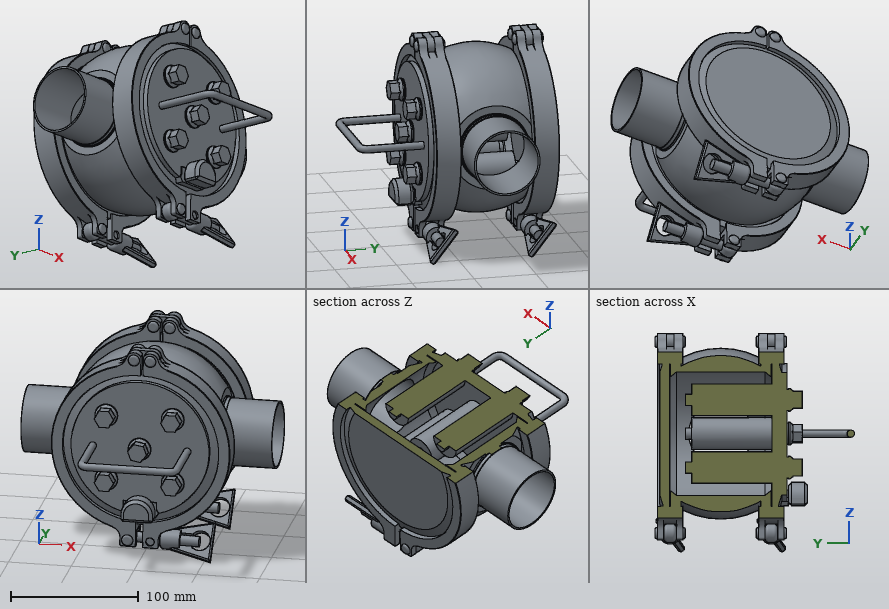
import cadquery as cq
import math

overall_length = 200.0
ball_radius = 66.9
ball_wall = 2.0
ball_flat_x = 57.5
pipe_diameter = 53.0
pipe_bore = 50.0
shoulder_diameter = 56.0
shoulder_end_x = 58.8
collar_diameter = 54.4
collar_end_x = 61.6
flange_radius = 66.0
flange_inner_y = 31.1
opening_radius = 55.0

clamp_center_y = 39.6
clamp_width = 20.0
clamp_radius = 69.75
clamp_bore_radius = 60.8
clamp_half_offset_x = 1.5
clamp_half_offset_z = -1.2
clamp_edge_chamfer = 0.5
ear_overlap = 1.0
clamp_twist = 0.95
clamp_face_y = clamp_center_y + clamp_width / 2

hinge_pin_x = 6.5
hinge_z = 71.95
knuckle_radius = 6.4
knuckle_blend_radius = 10.0
hinge_gap = 2.0
hinge_link_width = 6.0
hinge_link_radius = 6.2
pin_head_diameter = 9.0
pin_head_height = 2.0
pin_head_rounding = 1.8

ear_inner_x = 2.9
ear_outer_x = 15.3
ear_bottom_z = -83.1
ear_blend_radius = 8.0
ear_corner_radius = 1.5
ear_slot_width = 10.2
bolt_axis_z = -78.0
eye_pin_x = -9.3
eye_radius = 7.2
eye_width = 9.6
eye_rounding = 2.6
shank_diameter = 8.4
shank_end_x = 46.3
ear_recess_x = 8.7
ear_recess_diameter = 6.65
ear_recess_depth = 1.5

nut_start_x = 15.6
nut_end_x = 31.5
nut_diameter = 16.0
nut_rounding = 3.0
wing_start_x = 24.0
wing_end_x = 57.0
wing_start_half_width = 8.2
wing_end_half_width = 16.14
wing_thickness = 5.5
wing_tilt = 38.0
wing_hole_x = 47.1
wing_hole_diameter = 16.0
wing_slot_width = 10.2
wing_edge_chamfer = 1.2

lid_inner_y = 40.0
lid_cone_y = 44.0
lid_plate_base_y = 47.8
lid_plate_y = 52.0

rod_pitch = 53.0
rod_diameter = 25.0
rod_end_y = 22.7
rod_stud_diameter = 9.0
rod_stud_length = 5.0
screw_neck_diameter = 16.9
screw_flange_diameter = 18.0
screw_flange_y = 53.0
screw_flange_thickness = 1.2
screw_cone_diameter = 14.0
hex_start_y = 56.7
hex_end_y = 63.9
hex_corner_diameter = 15.5
center_hex_angle = 10.0

handle_diameter = 6.0
handle_half_span = 37.7
handle_axis_y = 101.8
handle_bend_radius = 6.0

knob_radius = 12.6
knob_center_z = -50.6
knob_bottom_z = -56.5
knob_back_y = 53.0
knob_front_y = 68.0
knob_edge = 2.5
knob_corner = 1.5
knob_base_top_z = -43.9
knob_base_half_width = 13.2
knob_base_flare_z = -50.0
knob_base_rim_x = 15.0


def plane_at(y):
    """XZ workplane at the given Y; positive extrusion runs toward -Y."""
    return cq.Workplane("XZ", origin=(0, y, 0))


def cylinder_y(x, z, diameter, y_start, y_end):
    return plane_at(y_start).center(x, z).circle(diameter / 2).extrude(y_start - y_end)


def cylinder_x(diameter, x_start, x_end, z=0):
    return cq.Workplane("YZ", origin=(x_start, 0, z)).circle(diameter / 2).extrude(x_end - x_start)


def box_between(x_range, y_range, z_range):
    size = [high - low for low, high in (x_range, y_range, z_range)]
    center = [(high + low) / 2 for low, high in (x_range, y_range, z_range)]
    return cq.Workplane("XY").box(*size).translate(tuple(center))


def flat_sided_ball(radius, flat_x):
    ball = cq.Workplane("XY").sphere(radius)
    envelope = box_between((-flat_x, flat_x), (-clamp_center_y, clamp_center_y), (-radius, radius))
    return ball.intersect(envelope)


def make_housing():
    half = overall_length / 2
    shell = flat_sided_ball(ball_radius, ball_flat_x)
    for side in (-1, 1):
        shell = shell.union(cylinder_y(0, 0, 2 * flange_radius, side * flange_inner_y, side * clamp_center_y))
    shell = shell.union(cylinder_x(shoulder_diameter, -shoulder_end_x, shoulder_end_x))
    shell = shell.union(cylinder_x(collar_diameter, -collar_end_x, collar_end_x))
    shell = shell.union(cylinder_x(pipe_diameter, -half, half))
    cavity = flat_sided_ball(ball_radius - ball_wall, ball_flat_x - ball_wall)
    opening = cylinder_y(0, 0, 2 * opening_radius, -clamp_center_y, clamp_center_y)
    shell = shell.cut(cavity.intersect(opening))
    return shell.cut(cylinder_x(pipe_bore, -half, half))


def make_lid():
    """Lid on the -Y side: a disc with a conical rim, rising toward the middle."""
    return (
        cq.Workplane("XY")
        .moveTo(0, -lid_inner_y)
        .lineTo(flange_radius, -lid_inner_y)
        .lineTo(flange_radius, -lid_cone_y)
        .lineTo(opening_radius, -lid_plate_base_y)
        .lineTo(0, -lid_plate_base_y)
        .close()
        .revolve(360, (0, 0, 0), (0, 1, 0))
    )


def make_half_ring():
    """Half ring on the +X side; its centre is offset from the clamp centre."""
    half_width = clamp_width / 2
    ring = cylinder_y(0, 0, 2 * clamp_radius, half_width, -half_width)
    ring = ring.faces("<Y or >Y").edges().chamfer(clamp_edge_chamfer)
    return from_half_center(ring)


def from_half_center(shape):
    """Move a shape built around the half-ring centre to its place in the clamp."""
    return shape.translate((clamp_half_offset_x, 0, clamp_half_offset_z))


def make_hinge_ear():
    """Knuckle of the +X half, blended into its ring by a concave arc."""
    pin_x = hinge_pin_x - clamp_half_offset_x
    pin_z = hinge_z - clamp_half_offset_z
    inner_x = -clamp_half_offset_x
    pin_distance = math.hypot(pin_x, pin_z)
    ring_reach = clamp_radius + knuckle_blend_radius
    knuckle_reach = knuckle_radius + knuckle_blend_radius
    pin_angle = math.atan2(pin_x, pin_z)
    cosine = (pin_distance**2 + ring_reach**2 - knuckle_reach**2) / (2 * pin_distance * ring_reach)
    blend_angle = pin_angle + math.acos(cosine)
    blend_x = ring_reach * math.sin(blend_angle)
    blend_z = ring_reach * math.cos(blend_angle)

    def toward_blend_center(x, z, radius):
        dx = blend_x - x
        dz = blend_z - z
        length = math.hypot(dx, dz)
        return (x + radius * dx / length, z + radius * dz / length)

    ring_point = toward_blend_center(0, 0, clamp_radius)
    knuckle_point = toward_blend_center(pin_x, pin_z, knuckle_radius)
    chord_x = (ring_point[0] + knuckle_point[0]) / 2 - blend_x
    chord_z = (ring_point[1] + knuckle_point[1]) / 2 - blend_z
    stretch = knuckle_blend_radius / math.hypot(chord_x, chord_z)
    blend_mid = (blend_x + stretch * chord_x, blend_z + stretch * chord_z)

    web = (
        plane_at(clamp_width / 2)
        .moveTo(inner_x, clamp_bore_radius + ear_overlap)
        .lineTo(ring_point[0], clamp_bore_radius + ear_overlap)
        .lineTo(*ring_point)
        .threePointArc(blend_mid, knuckle_point)
        .lineTo(pin_x, pin_z)
        .lineTo(inner_x, pin_z)
        .close()
        .extrude(clamp_width)
    )
    ear = web.union(cylinder_y(pin_x, pin_z, 2 * knuckle_radius, clamp_width / 2, -clamp_width / 2))
    return from_half_center(ear)


def make_hinge_link():
    link = box_between(
        (-hinge_pin_x, hinge_pin_x),
        (-hinge_link_width / 2, hinge_link_width / 2),
        (hinge_z - hinge_link_radius, hinge_z + hinge_link_radius),
    )
    for x in (-hinge_pin_x, hinge_pin_x):
        link = link.union(
            cylinder_y(x, hinge_z, 2 * hinge_link_radius, hinge_link_width / 2, -hinge_link_width / 2)
        )
    return link


def make_closing_ear():
    """Ear on the +X side of the bottom gap, blended into the ring."""
    side_x = ear_outer_x - clamp_half_offset_x
    bottom_z = ear_bottom_z - clamp_half_offset_z
    inner_x = -clamp_half_offset_x
    blend_x = side_x + ear_blend_radius
    reach = clamp_radius + ear_blend_radius
    blend_z = -math.sqrt(reach**2 - blend_x**2)
    ring_point = (blend_x * clamp_radius / reach, blend_z * clamp_radius / reach)
    side_point = (side_x, blend_z)
    middle_angle = (math.atan2(-blend_z, -blend_x) + math.pi) / 2
    blend_mid = (
        blend_x + ear_blend_radius * math.cos(middle_angle),
        blend_z + ear_blend_radius * math.sin(middle_angle),
    )
    ear = (
        plane_at(clamp_width / 2)
        .moveTo(inner_x, -clamp_bore_radius - ear_overlap)
        .lineTo(ring_point[0], -clamp_bore_radius - ear_overlap)
        .lineTo(*ring_point)
        .threePointArc(blend_mid, side_point)
        .lineTo(side_x, bottom_z)
        .lineTo(inner_x, bottom_z)
        .close()
        .extrude(clamp_width)
    )
    ear = ear.faces("<Z").edges(">X").fillet(ear_corner_radius)
    return from_half_center(ear)


def make_pin(x, z):
    half_length = clamp_width / 2 + pin_head_height
    pin = cylinder_y(x, z, pin_head_diameter, half_length, -half_length)
    return pin.faces("<Y or >Y").edges().fillet(pin_head_rounding)


def make_swing_bolt():
    eye = cylinder_y(eye_pin_x, bolt_axis_z, 2 * eye_radius, eye_width / 2, -eye_width / 2)
    eye = eye.faces("<Y or >Y").edges().fillet(eye_rounding)
    return eye.union(cylinder_x(shank_diameter, eye_pin_x, shank_end_x, bolt_axis_z))


def make_wing_nut():
    wing = (
        plane_at(wing_thickness / 2)
        .polyline([
            (wing_start_x, -wing_start_half_width),
            (wing_end_x, -wing_end_half_width),
            (wing_end_x, wing_end_half_width),
            (wing_start_x, wing_start_half_width),
        ])
        .close()
        .extrude(wing_thickness)
    )
    wing = wing.faces("<Y or >Y").edges().chamfer(wing_edge_chamfer)
    slot_y = (-wing_thickness / 2, wing_thickness / 2)
    slot_z = (-wing_slot_width / 2, wing_slot_width / 2)
    wing = wing.cut(box_between((nut_end_x, wing_hole_x), slot_y, slot_z))
    wing = wing.cut(
        cylinder_y(wing_hole_x, 0, wing_hole_diameter, wing_thickness / 2, -wing_thickness / 2)
    )
    wing = wing.rotate((0, 0, 0), (1, 0, 0), -wing_tilt).translate((0, 0, bolt_axis_z))
    nut = cylinder_x(nut_diameter, nut_start_x, nut_end_x, bolt_axis_z)
    nut = nut.faces("<X").edges().fillet(nut_rounding)
    return nut.union(wing)


def make_clamp_half():
    """The +X half of a clamp with its hinge knuckle and closing ear, both slotted."""
    half_width = clamp_width / 2
    reach = 2 * clamp_radius
    full_y = (-half_width, half_width)
    ring_core = from_half_center(cylinder_y(0, 0, 2 * clamp_radius, half_width, -half_width))
    bore = from_half_center(cylinder_y(0, 0, 2 * clamp_bore_radius, half_width, -half_width))
    link_y = (-hinge_link_width / 2, hinge_link_width / 2)
    link_slot = box_between((0, reach), link_y, (0, reach)).cut(ring_core)
    bolt_y = (-ear_slot_width / 2, ear_slot_width / 2)
    bolt_slot = box_between((0, reach), bolt_y, (-reach, 0)).cut(ring_core)

    half = make_half_ring().union(make_hinge_ear()).union(make_closing_ear())
    half = half.cut(bore).cut(link_slot).cut(bolt_slot)
    half = half.cut(box_between((-reach, hinge_gap / 2), full_y, (0, reach)))
    return half.cut(box_between((-reach, ear_inner_x), full_y, (-reach, 0)))


def make_clamp():
    """Clamp around the Y axis, centred on Y = 0."""
    half_width = clamp_width / 2
    half = make_clamp_half()
    clamp = half.union(half.mirror("YZ"))
    clamp = clamp.cut(
        cylinder_y(ear_recess_x, bolt_axis_z, ear_recess_diameter, -half_width + ear_recess_depth, -half_width)
    )
    clamp = clamp.union(make_hinge_link())
    for x, z in ((-hinge_pin_x, hinge_z), (hinge_pin_x, hinge_z), (eye_pin_x, bolt_axis_z)):
        clamp = clamp.union(make_pin(x, z))
    clamp = clamp.union(make_swing_bolt()).union(make_wing_nut())
    return clamp.rotate((0, 0, 0), (0, 1, 0), clamp_twist)


def make_magnet_rod(x, z, hex_angle):
    flange_end = screw_flange_y + screw_flange_thickness
    rod = cylinder_y(x, z, rod_diameter, rod_end_y, -lid_inner_y)
    rod = rod.union(cylinder_y(x, z, rod_stud_diameter, rod_end_y + rod_stud_length, rod_end_y))
    rod = rod.union(cylinder_y(x, z, screw_neck_diameter, -lid_inner_y, -screw_flange_y))
    rod = rod.union(cylinder_y(x, z, screw_flange_diameter, -screw_flange_y, -flange_end))
    cone = (
        plane_at(-flange_end)
        .center(x, z)
        .circle(screw_flange_diameter / 2)
        .workplane(offset=hex_start_y - flange_end)
        .circle(screw_cone_diameter / 2)
        .loft()
    )
    head = plane_at(-flange_end).polygon(6, hex_corner_diameter).extrude(hex_end_y - flange_end)
    head = head.rotate((0, 0, 0), (0, 1, 0), hex_angle).translate((x, 0, z))
    return rod.union(cone).union(head)


def make_handle():
    bend_y = -handle_axis_y + handle_bend_radius
    bend_x = handle_half_span - handle_bend_radius
    diagonal = handle_bend_radius * math.sqrt(0.5)
    path = (
        cq.Workplane("XY")
        .moveTo(-handle_half_span, -clamp_face_y)
        .lineTo(-handle_half_span, bend_y)
        .threePointArc((-bend_x - diagonal, bend_y - diagonal), (-bend_x, -handle_axis_y))
        .lineTo(bend_x, -handle_axis_y)
        .threePointArc((bend_x + diagonal, bend_y - diagonal), (handle_half_span, bend_y))
        .lineTo(handle_half_span, -clamp_face_y)
    )
    profile = plane_at(-clamp_face_y).center(-handle_half_span, 0).circle(handle_diameter / 2)
    return profile.sweep(path)


def make_knob():
    """Arched knob on a base that flares out along the rim of the lid plate."""
    knob = (
        plane_at(-knob_back_y)
        .moveTo(-knob_radius, knob_bottom_z)
        .lineTo(knob_radius, knob_bottom_z)
        .lineTo(knob_radius, knob_center_z)
        .threePointArc((0, knob_center_z + knob_radius), (-knob_radius, knob_center_z))
        .close()
        .extrude(knob_front_y - knob_back_y)
    )
    knob = knob.faces("<Z").edges("|Y").chamfer(knob_corner)
    knob = knob.faces("<Y or >Y").edges().chamfer(knob_edge)
    rim_z = -math.sqrt(opening_radius**2 - knob_base_rim_x**2)
    right_side = [
        (knob_base_half_width, knob_base_top_z),
        (knob_base_half_width, knob_base_flare_z),
        (knob_base_rim_x, rim_z),
        (knob_radius, knob_bottom_z),
    ]
    left_side = [(-x, z) for x, z in reversed(right_side)]
    base = plane_at(-lid_cone_y).polyline(right_side + left_side).close().extrude(knob_back_y - lid_cone_y)
    return knob.union(base)


def make_part():
    part = make_housing()
    lid = make_lid()
    part = part.union(lid).union(lid.mirror("XZ"))
    part = part.union(cylinder_y(0, 0, 2 * opening_radius, -lid_plate_base_y, -lid_plate_y))
    clamp = make_clamp()
    for side in (-1, 1):
        part = part.union(clamp.translate((0, side * clamp_center_y, 0)))
    half_pitch = rod_pitch / 2
    part = part.union(make_magnet_rod(0, 0, center_hex_angle))
    for x in (-half_pitch, half_pitch):
        for z in (-half_pitch, half_pitch):
            part = part.union(make_magnet_rod(x, z, 0))
    return part.union(make_handle()).union(make_knob())


result = make_part()